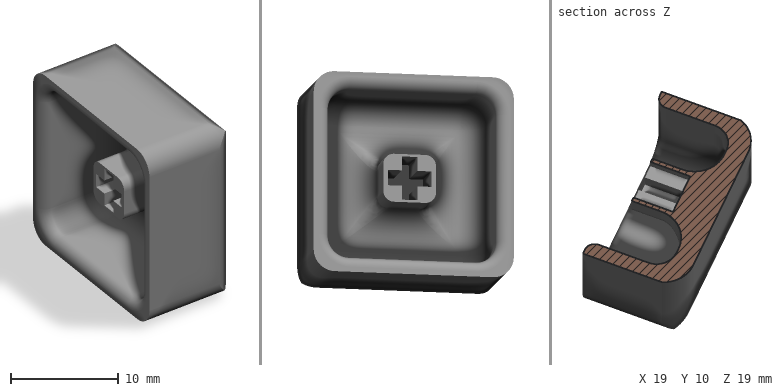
import cadquery as cq
import math

side = 19.0
height = 10.0
corner_radius = 2.0

crown_radius = 3.0
crown_depth = 2.0
crown_inset = math.sqrt(crown_radius**2 - (crown_radius - crown_depth) ** 2)

wall = 1.5
cavity_depth = 8.0
cavity_radius = 2.0
mouth_radius = 1.0

stem_width = 5.0
stem_height = 4.56
stem_recess = 2.0
stem_corner_radius = 1.0
stem_foot_radius = 3.0
base_margin = 0.19
base_thickness = 0.95
cross_span = 4.1
cross_arm = 1.46
cross_depth = 3.99

select_margin = 0.19


def plane_at(depth):
    """XZ workplane facing -Y at a given depth behind the rim."""
    return cq.Workplane(cq.Plane(origin=(0, depth, 0), xDir=(1, 0, 0), normal=(0, -1, 0)))


def box_from(depth, width, tall, length):
    """Box growing from a given depth towards the closed end."""
    return plane_at(depth).rect(width, tall).extrude(-length)


def edges_near_axis(reach, start, end):
    """Selector for edges centred within reach of the Y axis, between two depths."""
    limit = reach + select_margin
    return cq.selectors.BoxSelector(
        (-limit, start - select_margin, -limit), (limit, end + select_margin, limit)
    )


def crowned_bar():
    """Bar along Z whose XY outline carries the rounded closed end."""
    half = side / 2
    shoulder = height - crown_depth
    flat_half = half - crown_inset
    half_sweep = math.asin(crown_inset / crown_radius) / 2
    mid_x = flat_half + crown_radius * math.sin(half_sweep)
    mid_y = height - crown_radius * (1 - math.cos(half_sweep))
    return (
        cq.Workplane("XY")
        .moveTo(-half, 0)
        .lineTo(half, 0)
        .lineTo(half, shoulder)
        .threePointArc((mid_x, mid_y), (flat_half, height))
        .lineTo(-flat_half, height)
        .threePointArc((-mid_x, mid_y), (-half, shoulder))
        .close()
        .extrude(half, both=True)
    )


def outer_body():
    block = box_from(0, side, side, height).edges("|Y").fillet(corner_radius)
    bar_along_z = crowned_bar()
    bar_along_x = bar_along_z.rotate((0, 0, 0), (0, 1, 0), 90)
    return block.intersect(bar_along_z).intersect(bar_along_x)


def cavity():
    opening = side - 2 * wall
    pocket = box_from(0, opening, opening, cavity_depth)
    return pocket.edges("|Y").fillet(cavity_radius).faces(">Y").edges().fillet(cavity_radius)


def stem():
    """Stem on a flared foot; the corner rounding fades out towards the foot corners."""
    foot_width = stem_width + 2 * stem_foot_radius
    foot_height = stem_height + 2 * stem_foot_radius
    foot_top = cavity_depth - stem_foot_radius
    core = box_from(stem_recess, stem_width, stem_height, cavity_depth - stem_recess)
    base = box_from(
        cavity_depth, foot_width + base_margin, foot_height + base_margin, base_thickness
    )
    joint = edges_near_axis(stem_width / 2, cavity_depth, cavity_depth)
    flared = core.union(base).edges(joint).fillet(stem_foot_radius)
    shaft = edges_near_axis(stem_width / 2, stem_recess, foot_top)
    return flared.edges(shaft).edges("|Y").fillet(stem_corner_radius)


def cross_socket():
    upright = box_from(stem_recess, cross_arm, cross_span, cross_depth)
    return upright.union(box_from(stem_recess, cross_span, cross_arm, cross_depth))


cup = outer_body().cut(cavity())
mouth = edges_near_axis(side / 2 - wall, 0, 0)
cup = cup.edges(mouth).fillet(mouth_radius)
result = cup.union(stem()).cut(cross_socket())